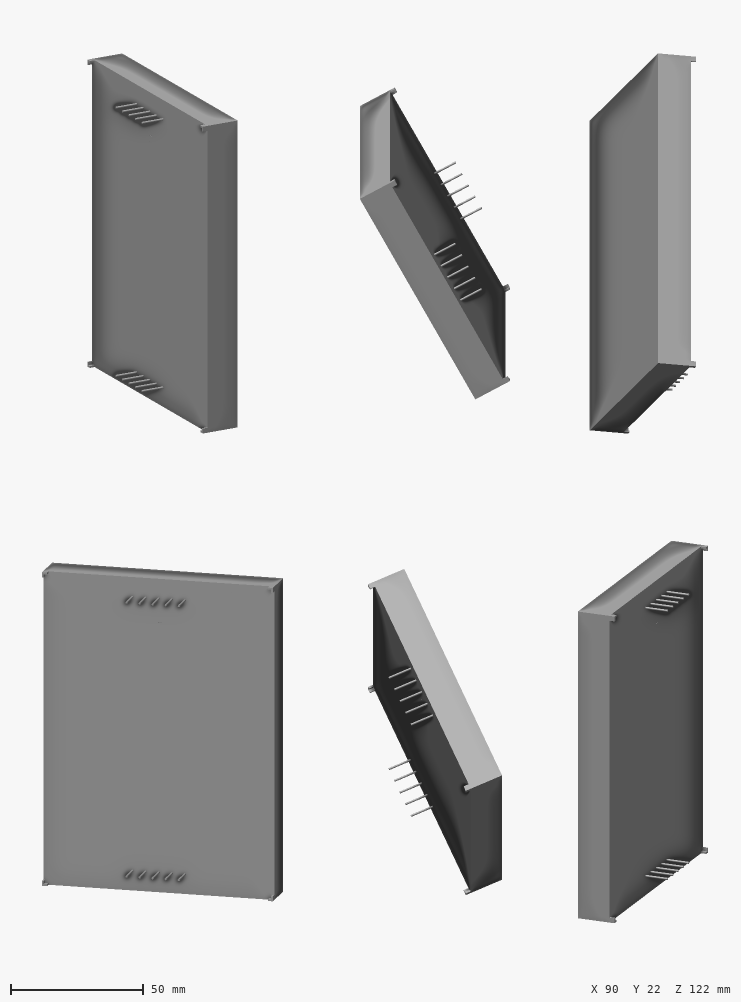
import cadquery as cq

width = 90.0
height = 122.0
overall_depth = 22.0

case_depth = 12.9
pin_length = overall_depth - case_depth

foot_height = 2.1
foot_arm = 2.0
foot_wall = 0.7

pin_diameter = 0.8
pins_per_row = 5
row_length = 20.4
pin_pitch = row_length / (pins_per_row - 1)
row_spacing = 106.6

groove_length = 1.5
groove_width = 0.2
groove_depth = 0.2
groove_x = 0.5
groove_z = 43.9


def make_case():
    """Block with its -Y face on the XZ plane."""
    return cq.Workplane("XY").box(
        width, case_depth, height, centered=(True, False, True)
    )


def make_foot(side_x, side_z):
    """L-shaped foot whose outer sides are flush with one corner of the case."""
    corner_x = side_x * width / 2
    corner_z = side_z * height / 2
    arm_x = corner_x - side_x * foot_arm
    arm_z = corner_z - side_z * foot_arm
    wall_x = corner_x - side_x * foot_wall
    wall_z = corner_z - side_z * foot_wall
    outline = [
        (corner_x, corner_z),
        (arm_x, corner_z),
        (arm_x, wall_z),
        (wall_x, wall_z),
        (wall_x, arm_z),
        (corner_x, arm_z),
    ]
    return cq.Workplane("XZ").polyline(outline).close().extrude(foot_height)


def make_pins():
    """Both pin rows, centred on the -Y face."""
    return (
        cq.Workplane("XZ")
        .rarray(pin_pitch, row_spacing, pins_per_row, 2)
        .circle(pin_diameter / 2)
        .extrude(pin_length)
    )


def make_groove():
    """Cutter reaching into the case from its -Y face."""
    return (
        cq.Workplane("XZ")
        .center(groove_x, groove_z)
        .rect(groove_length, groove_width)
        .extrude(-groove_depth)
    )


result = make_case().cut(make_groove()).union(make_pins())
for side_x in (-1, 1):
    for side_z in (-1, 1):
        result = result.union(make_foot(side_x, side_z))

result = result.translate((0, overall_depth / 2 - case_depth, 0))